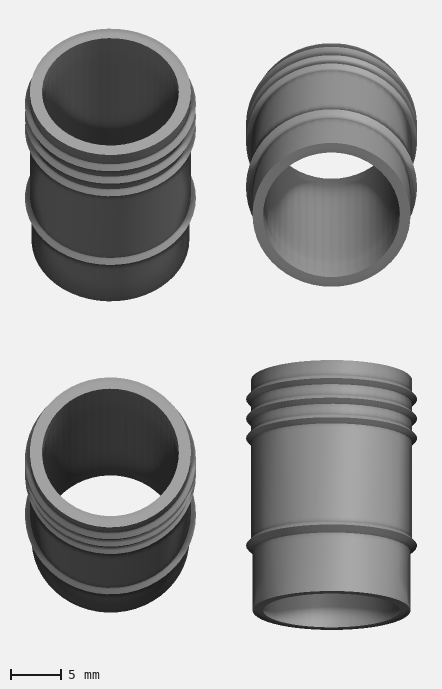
import cadquery as cq

height = 23.65
bore_diameter = 13.6
body_diameter = 16.0
spigot_diameter = 15.7
rib_diameter = 17.0

spigot_height = 6.0
plain_body_length = 10.0
rib_pitch = 2.0
rib_count = 3

bore_radius = bore_diameter / 2
body_radius = body_diameter / 2
spigot_radius = spigot_diameter / 2
rib_radius = rib_diameter / 2

body_flank = rib_radius - body_radius
spigot_flank = rib_radius - spigot_radius
collar_peak = spigot_height + spigot_flank
collar_top = collar_peak + body_flank
first_rib_bottom = collar_top + plain_body_length


def rib_points(bottom):
    """Profile of a pointed rib on the body, from its lower to its upper root."""
    return [
        (body_radius, bottom),
        (rib_radius, bottom + body_flank),
        (body_radius, bottom + 2 * body_flank),
    ]


outline = [
    (bore_radius, 0),
    (spigot_radius, 0),
    (spigot_radius, spigot_height),
    (rib_radius, collar_peak),
    (body_radius, collar_top),
]
for index in range(rib_count):
    outline += rib_points(first_rib_bottom + index * rib_pitch)
outline += [(body_radius, height), (bore_radius, height)]

result = cq.Workplane("XZ").polyline(outline).close().revolve(360, (0, 0), (0, 1))